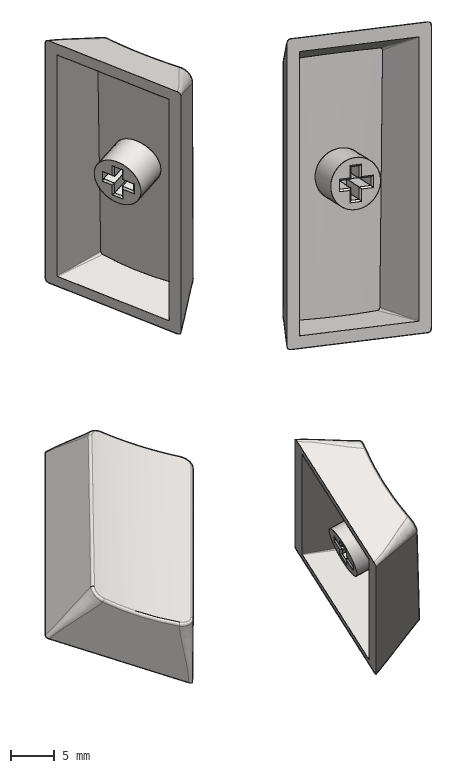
import cadquery as cq

WIDTH = 18.1
LENGTH = 37.1
HEIGHT = 7.55
SIDE_DRAFT = 0.375
END_DRAFT = 0.455
RIM_CORNER = 0.5
FACE_CORNER = 1.78
FACE_EDGE_FILLET = 0.35

DISH_RADIUS = 30.8
DISH_TILT = 0.83
DISH_BOTTOM = 6.75

SIDE_WALL = 1.6
TOP_WALL = 1.67
BOTTOM_WALL = 1.52
FACE_WALL = 1.45
CAVITY_RIM_CORNER = 0.05
CAVITY_FLOOR_CORNER = 0.37

STEM_RADIUS = 3.1
STEM_RECESS = 1.0
SOCKET_DEPTH = 3.7
SOCKET_SPAN = 4.0
SOCKET_ARM_WIDTH = 1.05
MOUTH_CHAMFER = 0.22

SECTION_COUNT = 5
LOFT_HEIGHT = HEIGHT + 0.37
CUT_LENGTH = 3 * LENGTH


def section(y, half_width, z_low, z_high, corner):
    """Rounded rectangle wire on the plane at the given Y."""
    return (
        cq.Workplane("XZ", origin=(0, y, (z_low + z_high) / 2))
        .sketch()
        .rect(2 * half_width, z_high - z_low)
        .vertices()
        .fillet(corner)
        .finalize()
        .extrude(-0.37)
        .faces("<Y")
        .wires()
        .val()
    )


def tapered_body(half_width, z_low, z_high, rim_corner, face_corner):
    """Drafted block whose corner radius grows along an S-curve from rim to face."""
    wires = []
    for index in range(SECTION_COUNT):
        y = LOFT_HEIGHT * index / (SECTION_COUNT - 1)
        t = y / LOFT_HEIGHT
        corner = rim_corner + (face_corner - rim_corner) * t * t * (3 - 2 * t)
        wires.append(section(y, half_width - SIDE_DRAFT * y, z_low, z_high - END_DRAFT * y, corner))
    return cq.Workplane(cq.Solid.makeLoft(wires))


def dish(valley, radius):
    """Tilted cylinder that trims a body to a concave face."""
    return (
        cq.Workplane("XY")
        .circle(radius)
        .extrude(CUT_LENGTH / 2, both=True)
        .rotate((0, 0, 0), (1, 0, 0), DISH_TILT)
        .translate((0, valley + radius, 0))
    )


def cross(y, offset):
    """Cross outline with every wall but the -X end moved outward by the offset."""
    arm = SOCKET_ARM_WIDTH / 2 + offset
    reach = SOCKET_SPAN / 2 + offset
    left = -SOCKET_SPAN / 2
    points = [
        (arm, reach), (arm, arm), (reach, arm),
        (reach, -arm), (arm, -arm), (arm, -reach),
        (-arm, -reach), (-arm, -arm), (left, -arm),
        (left, arm), (-arm, arm), (-arm, reach),
    ]
    return cq.Wire.makePolygon([cq.Vector(x, y, z) for x, z in points], close=True)


def socket_part(y_start, y_end, offset_start, offset_end):
    """Straight-sided length of the socket between two cross outlines."""
    wires = [cross(y_start, offset_start), cross(y_end, offset_end)]
    return cq.Workplane(cq.Solid.makeLoft(wires, True))


shell = tapered_body(WIDTH / 2, -LENGTH / 2, LENGTH / 2, RIM_CORNER, FACE_CORNER)
shell = shell.cut(dish(DISH_BOTTOM, DISH_RADIUS))
shell = shell.faces(">Y").edges().fillet(FACE_EDGE_FILLET)

cavity = tapered_body(
    WIDTH / 2 - SIDE_WALL, -LENGTH / 2 + BOTTOM_WALL, LENGTH / 2 - TOP_WALL,
    CAVITY_RIM_CORNER, CAVITY_FLOOR_CORNER,
).cut(dish(DISH_BOTTOM - FACE_WALL, DISH_RADIUS + FACE_WALL))

stem = (
    cq.Workplane("XZ", origin=(0, STEM_RECESS, 0))
    .circle(STEM_RADIUS)
    .extrude(-(DISH_BOTTOM - FACE_WALL / 2 - STEM_RECESS))
)
chamfer_end = STEM_RECESS + MOUTH_CHAMFER
mouth = socket_part(STEM_RECESS, chamfer_end, MOUTH_CHAMFER, 0)
socket = socket_part(chamfer_end, STEM_RECESS + SOCKET_DEPTH, 0, 0)

result = shell.cut(cavity).union(stem).cut(mouth).cut(socket)